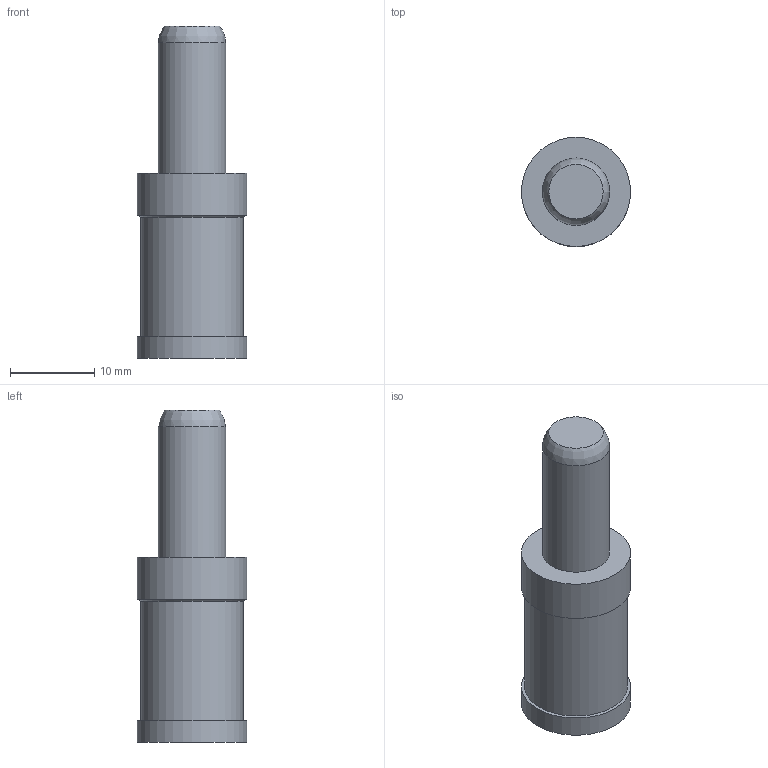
import cadquery as cq
import math

flange_diameter = 13.0
body_diameter = 12.2
pin_diameter = 8.0

total_height = 39.5
base_height = 2.5
collar_bottom = 17.0
collar_height = 5.0
tip_length = 2.0

tip_radius = 3.0
neck_chamfer = 0.25

flange_radius = flange_diameter / 2
body_radius = body_diameter / 2
pin_radius = pin_diameter / 2
collar_top = collar_bottom + collar_height
tip_start = total_height - tip_length

tip_angle = math.asin(tip_length / tip_radius)


def tip_arc_point(angle):
    """Point (radius, height) on the rounded tip, with the angle counted from the pin wall."""
    radius = pin_radius - tip_radius * (1 - math.cos(angle))
    height = tip_start + tip_radius * math.sin(angle)
    return radius, height


def make_half_profile():
    """Closed half section of the stepped pin, from the base up to the flat tip."""
    return (
        cq.Workplane("XZ")
        .lineTo(flange_radius, 0)
        .lineTo(flange_radius, base_height)
        .lineTo(body_radius, base_height)
        .lineTo(body_radius, collar_bottom - neck_chamfer)
        .lineTo(body_radius + neck_chamfer, collar_bottom)
        .lineTo(flange_radius, collar_bottom)
        .lineTo(flange_radius, collar_top)
        .lineTo(pin_radius, collar_top)
        .lineTo(pin_radius, tip_start)
        .threePointArc(tip_arc_point(tip_angle / 2), tip_arc_point(tip_angle))
        .lineTo(0, total_height)
        .close()
    )


result = make_half_profile().revolve(360, (0, 0, 0), (0, 1, 0))